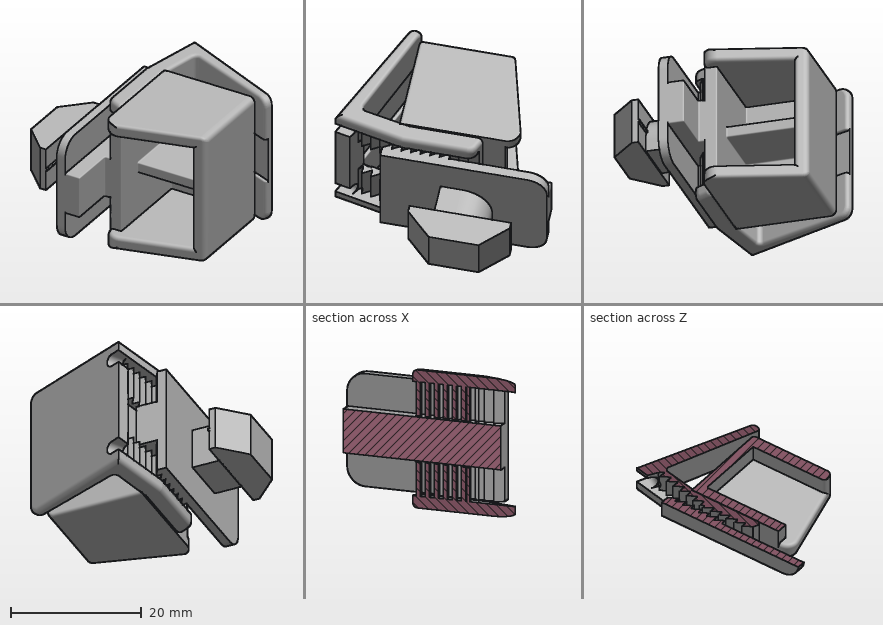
import cadquery as cq
import math


plate_thickness = 1.5
plate_bottom = -12.52
plate_top = 13.45
plate_half_width = 8.97
plate_corner_radius = 3.05

stem_length = 4.67
stem_half_height = 4.03
stem_half_width = 3.4
stem_round_radius = 4.75

head_length = 5.08
head_half_height = 7.92
head_half_width = 3.62
head_chamfer = 4.03
head_bead_radius = 0.25

neck_half_width = 3.52
neck_foot_depth = 4.05
neck_fillet = 0.2
tooth_pitch = 1.5
tooth_depth = 0.9
plate_tooth_count = 7

box_left = 5.05
box_right = 21.08
box_top = 11.47
box_half_width = 11.0
box_left_bottom = -7.6
box_slope = 15.0
box_corner_radius = 2.0
box_far_fillet = 1.0
box_rim_fillet = 0.5

cavity_left = 7.0
cavity_right = 18.85
cavity_half_width = 8.83
corner_half_angle = (90 - box_slope) / 2
left_wall_bottom = box_left_bottom + box_corner_radius / math.tan(math.radians(corner_half_angle))
floor_thickness = 1.55
cavity_floor = box_top - floor_thickness
cavity_rim_fillet = 0.65
small_fillet = 0.2
rib_half_width = 0.88
rib_bottom = -0.15
hole_radius = 0.95
hole_level = -3.5

lever_half_width = box_half_width
leg_left = 2.03
leg_outer_kink = 10.52
leg_inner_kink = 9.8
leg_left_bottom = -0.55
leg_foot_slope = 25.0
leg_foot_radius = 1.5
apex_x = 4.33
apex_y = 21.32
arm_length = 20.85
arm_slope = 23.6
inner_corner_x = 6.63
inner_corner_y = 17.73
inner_corner_radius = 0.68
tip_thickness = 1.73
tip_corner_radius = 1.7
outer_fillet = 0.8
inner_fillet = 0.58

pocket_half_width = 9.05
slot_half_width = 3.62
undercut_start_x = 3.75
undercut_start_y = 19.0
undercut_slope = 32.0
pocket_top = 17.97
highest_tooth = 17.3
lever_tooth_x = 2.7
lever_tooth_kink = 7.8
lever_tooth_lean = 0.21
lever_leaning_teeth = 7
lever_upright_teeth = 6
lowest_tooth = 0.25
groove_depth = 0.6
groove_fillet = 0.25
notch_radius = 1.08
notch_setback = 0.78
notch_reach = 6.77

reach = 33.85

overrun = 0.35


def extruded(points, half_width):
    """Closed outline in XY, extruded evenly to both sides of Z = 0."""
    return cq.Workplane("XY").polyline(points).close().extrude(half_width, both=True)


def block(x0, x1, y0, y1, z0, z1):
    """Box between two opposite corners."""
    return cq.Workplane("XY").box(x1 - x0, y1 - y0, z1 - z0, centered=False).translate((x0, y0, z0))


def direction(angle):
    """Unit vector in XY."""
    return cq.Vector(math.cos(math.radians(angle)), math.sin(math.radians(angle)), 0)


def edges_near(part, points):
    """The edge of the part that is nearest to each of the points."""
    edges = [part.edges(cq.selectors.NearestToPointSelector(point)).val() for point in points]
    return part.newObject(edges)


def slanted_bottom(x):
    """Level of the box's slanted bottom."""
    return box_left_bottom + (x - box_left) * math.tan(math.radians(box_slope))


def make_plate():
    plate = block(0, plate_thickness, plate_bottom, plate_top, -plate_half_width, plate_half_width)
    return plate.edges("|X and <Y").fillet(plate_corner_radius)


def make_plate_teeth():
    """Sawtooth strip: each tooth slopes out downwards and ends in a flat lower side."""
    root = plate_thickness
    points = [(root, plate_top)]
    for i in range(1, plate_tooth_count + 1):
        y = plate_top - i * tooth_pitch
        points.append((root + tooth_depth, y))
        points.append((root, y))
    return extruded([(0, plate_top)] + points + [(0, points[-1][1])], plate_half_width)


def make_neck():
    points = [
        (0, plate_top),
        (box_left, plate_top),
        (box_left, left_wall_bottom),
        (neck_foot_depth, left_wall_bottom),
        (neck_foot_depth, plate_bottom),
        (0, plate_bottom),
    ]
    neck = extruded(points, neck_half_width)
    foot_edges = cq.selectors.BoxSelector(
        (plate_thickness / 2, plate_bottom - overrun, -reach),
        (box_left - overrun, left_wall_bottom + overrun, reach),
    )
    return neck.edges(foot_edges).edges("|Z or |X or |Y").fillet(neck_fillet)


def make_stem():
    stem = block(
        -stem_length, 0, -stem_half_height, stem_half_height, -stem_half_width, stem_half_width
    )
    return stem.edges("|X and <Y and >Z").fillet(stem_round_radius)


def make_head():
    inner = -stem_length
    outer = inner - head_length
    block_part = block(
        outer, inner, -head_half_height, head_half_height, -head_half_width, head_half_width
    )
    head = block_part.edges("|Z and <X").chamfer(head_chamfer)
    bead = cq.Workplane("XZ").center(inner, 0).circle(head_bead_radius).extrude(head_half_height, both=True)
    return head.union(bead)


def make_box_shell():
    """Solid block with its outer edges rounded; the left side stays sharp against the neck."""
    right_bottom = slanted_bottom(box_right)
    outline = [
        (box_left, box_top),
        (box_right, box_top),
        (box_right, right_bottom),
        (box_left, box_left_bottom),
    ]
    shell = extruded(outline, box_half_width)
    shell = shell.faces(">X").edges("not >Y").fillet(box_far_fillet)
    shell = shell.faces(">Y").edges("not <X").fillet(box_rim_fillet)
    slanted_edges = cq.selectors.BoxSelector(
        (box_left + overrun, -reach, -reach), (box_right - box_far_fillet, right_bottom, reach)
    )
    side_edges = shell.edges(">Z or <Z").edges(slanted_edges)
    shell = side_edges.fillet(box_rim_fillet)
    sharp_block = extruded(outline, box_half_width)
    left_corner = edges_near(sharp_block, [(box_left, box_left_bottom, 0)])
    return shell.intersect(left_corner.fillet(box_corner_radius))


def make_cavity():
    """Space inside the box, open at the bottom and below the short left wall."""
    main = block(cavity_left, cavity_right, -reach, cavity_floor, -cavity_half_width, cavity_half_width)
    main = main.edges("|Z and <X and >Y").fillet(small_fillet)
    below_wall = block(0, cavity_right, -reach, left_wall_bottom, -cavity_half_width, cavity_half_width)
    return main.union(below_wall)


def make_rib():
    rib = block(cavity_left, cavity_right, rib_bottom, cavity_floor, -rib_half_width, rib_half_width)
    return rib.edges("|X and <Y").fillet(small_fillet)


def make_floor_holes():
    """Two half-round holes through the floor, each against one side wall."""
    holes = cq.Workplane("XZ", origin=(0, cavity_floor - overrun, 0))
    holes = holes.pushPoints([(cavity_left, hole_level), (cavity_right, hole_level)])
    holes = holes.circle(hole_radius).extrude(-(floor_thickness + 2 * overrun))
    between_walls = block(cavity_left, cavity_right, 0, reach, -cavity_half_width, cavity_half_width)
    return holes.intersect(between_walls)


def make_box():
    box = make_box_shell().cut(make_cavity())
    box = edges_near(box, [(cavity_left, left_wall_bottom, 0)]).fillet(small_fillet)
    rim_middle_x = (box_left + cavity_right) / 2
    rim_points = [(cavity_right, slanted_bottom(cavity_right), 0)]
    for side in (-1, 1):
        rim_points.append((rim_middle_x, slanted_bottom(rim_middle_x), side * cavity_half_width))
    box = edges_near(box, rim_points).fillet(cavity_rim_fillet)
    box = box.union(make_rib())
    middle_x = (cavity_left + cavity_right) / 2
    rib_feet = [(middle_x, cavity_floor, side * rib_half_width) for side in (-1, 1)]
    box = edges_near(box, rib_feet).fillet(small_fillet)
    return box.cut(make_floor_holes())


def cut_groove(lever, tip_bottom):
    """Groove along the middle of the arm's underside, with rounded borders."""
    inner_corner = cq.Vector(inner_corner_x, inner_corner_y, 0)
    along_underside = (tip_bottom - inner_corner).normalized()
    into_arm = cq.Vector(-along_underside.y, along_underside.x, 0)
    beyond_tip = tip_bottom + along_underside * tip_thickness
    corners = [
        inner_corner + into_arm * groove_depth,
        beyond_tip + into_arm * groove_depth,
        beyond_tip - into_arm * tip_thickness,
        inner_corner - into_arm * tip_thickness,
    ]
    lever = lever.cut(extruded([(corner.x, corner.y) for corner in corners], slot_half_width))
    middle = (inner_corner + tip_bottom) * 0.5
    borders = [(middle.x, middle.y, side * slot_half_width) for side in (-1, 1)]
    return edges_near(lever, borders).fillet(groove_fillet)


def make_lever_blank():
    """Bent lever without its cut-outs: leg, pointed apex and arm, all edges rounded."""
    along_arm = direction(-arm_slope)
    across_arm = direction(-arm_slope - 90)
    apex = cq.Vector(apex_x, apex_y, 0)
    tip_top = apex + along_arm * arm_length
    tip_bottom = tip_top + across_arm * tip_thickness
    foot_drop = (box_left - leg_left) * math.tan(math.radians(leg_foot_slope))
    outline = [
        (apex_x, apex_y),
        (tip_top.x, tip_top.y),
        (tip_bottom.x, tip_bottom.y),
        (inner_corner_x, inner_corner_y),
        (box_left, leg_inner_kink),
        (box_left, leg_left_bottom - foot_drop),
        (leg_left, leg_left_bottom),
        (leg_left, leg_outer_kink),
    ]
    lever = extruded(outline, lever_half_width)
    lever = edges_near(lever, [(leg_left, leg_left_bottom, 0)]).fillet(leg_foot_radius)
    lever = edges_near(lever, [(inner_corner_x, inner_corner_y, 0)]).fillet(inner_corner_radius)

    tip_corners = cq.selectors.BoxSelector(
        (tip_bottom.x - overrun, tip_bottom.y, -reach), (tip_top.x + overrun, tip_top.y, reach)
    )
    lever = lever.edges(tip_corners).edges("not |Z").edges(">Z or <Z").fillet(tip_corner_radius)

    outer_points = []
    inner_points = []
    for z in (-lever_half_width, lever_half_width):
        outer_points.append(((apex.x + tip_top.x) / 2, (apex.y + tip_top.y) / 2, z))
        outer_points.append(((leg_left + apex_x) / 2, (leg_outer_kink + apex_y) / 2, z))
        outer_points.append((leg_left, (leg_left_bottom + leg_outer_kink) / 2, z))
        inner_points.append(((inner_corner_x + tip_bottom.x) / 2, (inner_corner_y + tip_bottom.y) / 2, z))
        inner_points.append((box_left, (leg_left_bottom - foot_drop + leg_inner_kink) / 2, z))
    lever = edges_near(lever, outer_points).fillet(outer_fillet)
    lever = edges_near(lever, inner_points).fillet(inner_fillet)

    return cut_groove(lever, tip_bottom)


def undercut_level(x):
    """Level of the sloping face that ends the pocket and the slot under the apex."""
    return undercut_start_y - (x - undercut_start_x) * math.tan(math.radians(undercut_slope))


def tooth_line(y):
    """X of the lever's tooth points, upright at first and leaning with the leg higher up."""
    return lever_tooth_x + max(0, y - lever_tooth_kink) * lever_tooth_lean


def make_pocket_cut():
    """Pocket in the leg for the ratchet plate, with teeth that face the plate's teeth."""
    pocket_drop = undercut_start_y - pocket_top
    pocket_top_x = undercut_start_x + pocket_drop / math.tan(math.radians(undercut_slope))
    points = [(undercut_start_x, undercut_start_y), (pocket_top_x, pocket_top)]
    levels = [highest_tooth - i * tooth_pitch for i in range(lever_leaning_teeth)]
    levels += [lowest_tooth + i * tooth_pitch for i in reversed(range(lever_upright_teeth))]
    levels.append(lowest_tooth - tooth_pitch)
    above = highest_tooth + tooth_pitch
    for level in levels:
        root = tooth_line(above) + (above - level) * tooth_depth / tooth_pitch
        points.append((root, level))
        points.append((tooth_line(level), level))
        above = level
    points.append((0, levels[-1]))
    points.append((0, undercut_start_y))
    return extruded(points, pocket_half_width)


def make_slot_cut():
    """Slot through the leg that lets the lever straddle the neck."""
    right = inner_corner_x
    points = [
        (undercut_start_x, undercut_start_y),
        (right, undercut_level(right)),
        (right, plate_bottom),
        (0, plate_bottom),
        (0, undercut_start_y),
    ]
    return extruded(points, slot_half_width)


def make_notch_cuts():
    """Two round-ended notches through the apex, square to the undercut face."""
    tangent = direction(-undercut_slope)
    notch_centre_x = undercut_start_x + notch_setback * tangent.x
    notch_centre = cq.Vector(notch_centre_x, undercut_level(notch_centre_x), 0)
    notches = cq.Workplane("XY")
    for side in (-1, 1):
        centre = notch_centre + cq.Vector(0, 0, side * (pocket_half_width - notch_radius))
        plane = cq.Plane(origin=centre, xDir=tangent, normal=direction(90 - undercut_slope))
        notch = cq.Workplane(plane).circle(notch_radius)
        notch = notch.extrude(notch_reach, both=True)
        opening = cq.Workplane(plane).center(-notch_reach / 2, 0).rect(notch_reach, 2 * notch_radius)
        notches = notches.add(notch.union(opening.extrude(notch_reach, both=True)))
    return notches.combine()


def make_lever():
    lever = make_lever_blank()
    for cut in (make_pocket_cut(), make_slot_cut(), make_notch_cuts(), make_box_shell()):
        lever = lever.cut(cut)
    return lever


housing = make_plate()
for part in (make_plate_teeth(), make_neck(), make_stem(), make_head(), make_box()):
    housing = housing.union(part)
lever = make_lever()
result = cq.Compound.makeCompound([housing.val(), lever.val()])